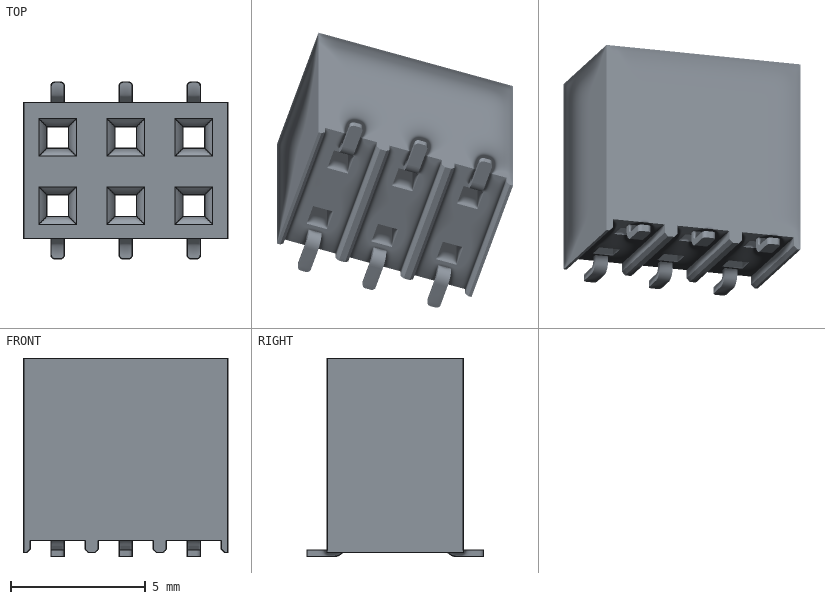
import cadquery as cq
import math

PITCH = 2.54
COLUMNS = 3
ROWS = 2

HOUSING_LENGTH = COLUMNS * PITCH
HOUSING_WIDTH = ROWS * PITCH
TOP_Z = 7.4
STANDOFF_BOTTOM_Z = 0.15
HOUSING_FLOOR_Z = 0.6
STANDOFF_WIDTH = 0.5
STANDOFF_CHAMFER = 0.13

HOLE_SIDE = 0.8
FUNNEL_SIDE = 1.4
ROW_OFFSET_Y = -0.04
FUNNEL_DEPTH = (FUNNEL_SIDE - HOLE_SIDE) / 2

LEAD_SPAN = 6.6
LEAD_WIDTH = 0.5
LEAD_THICKNESS = 0.25
LEAD_CORNER_RADIUS = 0.15
LEAD_BEND_Y = 2.3
LEAD_BEND_INNER_RADIUS = 0.2
LEAD_EMBEDMENT = 0.2

COLUMN_X = [(i - (COLUMNS - 1) / 2) * PITCH for i in range(COLUMNS)]
ROW_Y = [(j - (ROWS - 1) / 2) * PITCH + ROW_OFFSET_Y for j in range(ROWS)]


def make_channel(x):
    """Clearance under one column, widening at the bottom past the standoff chamfers."""
    half_width = (PITCH - STANDOFF_WIDTH) / 2
    half_mouth = half_width + STANDOFF_CHAMFER
    chamfer_z = STANDOFF_BOTTOM_Z + STANDOFF_CHAMFER
    outline = [
        (x - half_mouth, STANDOFF_BOTTOM_Z),
        (x + half_mouth, STANDOFF_BOTTOM_Z),
        (x + half_width, chamfer_z),
        (x + half_width, HOUSING_FLOOR_Z),
        (x - half_width, HOUSING_FLOOR_Z),
        (x - half_width, chamfer_z),
    ]
    return cq.Workplane("XZ").polyline(outline).close().extrude(HOUSING_WIDTH / 2, both=True)


def make_opening(x, y):
    """Square through hole with a tapered lead-in at the top."""
    hole = (
        cq.Workplane("XY", origin=(x, y, 0))
        .rect(HOLE_SIDE, HOLE_SIDE)
        .extrude(TOP_Z)
    )
    funnel = (
        cq.Workplane("XY", origin=(x, y, TOP_Z - FUNNEL_DEPTH))
        .rect(HOLE_SIDE, HOLE_SIDE)
        .workplane(offset=FUNNEL_DEPTH)
        .rect(FUNNEL_SIDE, FUNNEL_SIDE)
        .loft(ruled=True)
    )
    return hole.union(funnel)


def make_housing():
    housing = (
        cq.Workplane("XY", origin=(0, 0, STANDOFF_BOTTOM_Z))
        .rect(HOUSING_LENGTH, HOUSING_WIDTH)
        .extrude(TOP_Z - STANDOFF_BOTTOM_Z)
    )
    for x in COLUMN_X:
        housing = housing.cut(make_channel(x))
        for y in ROW_Y:
            housing = housing.cut(make_opening(x, y))
    return housing


def make_lead(x):
    """Lead on the +Y side: flat foot, round bend and a vertical stub into the housing."""
    tip_y = LEAD_SPAN / 2
    bend_outer_radius = LEAD_BEND_INNER_RADIUS + LEAD_THICKNESS
    stub_outer_y = LEAD_BEND_Y - LEAD_BEND_INNER_RADIUS
    stub_inner_y = LEAD_BEND_Y - bend_outer_radius
    stub_top_z = HOUSING_FLOOR_Z + LEAD_EMBEDMENT
    bend_z = bend_outer_radius
    mid_angle = math.radians(45)

    def bend_middle(radius):
        return (LEAD_BEND_Y - radius * math.cos(mid_angle), bend_z - radius * math.sin(mid_angle))

    return (
        cq.Workplane("YZ", origin=(x, 0, 0))
        .moveTo(tip_y, 0)
        .lineTo(tip_y, LEAD_THICKNESS)
        .lineTo(LEAD_BEND_Y, LEAD_THICKNESS)
        .threePointArc(bend_middle(LEAD_BEND_INNER_RADIUS), (stub_outer_y, bend_z))
        .lineTo(stub_outer_y, stub_top_z)
        .lineTo(stub_inner_y, stub_top_z)
        .lineTo(stub_inner_y, bend_z)
        .threePointArc(bend_middle(bend_outer_radius), (LEAD_BEND_Y, 0))
        .close()
        .extrude(LEAD_WIDTH / 2, both=True)
        .faces(">Y")
        .edges("|Z")
        .fillet(LEAD_CORNER_RADIUS)
    )


result = make_housing()
for column_x in COLUMN_X:
    lead = make_lead(column_x)
    result = result.union(lead).union(lead.mirror("XZ"))